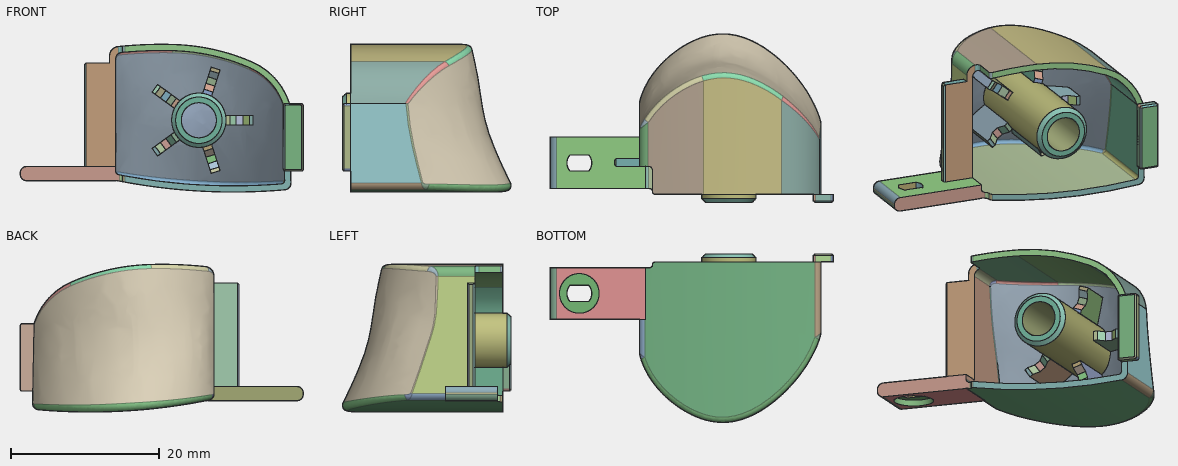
import cadquery as cq

overall_length = 38.02
wall = 0.85
overrun = 26.6

side_x = -12.0
side_top, side_bottom = 9.77, -7.9
roof_rise, roof_crest = (-7.6, 10.15), (-3.42, 10.2)
shoulder_start, shoulder_end = (7.07, 7.87), (12.15, 2.3)
right_foot = (12.4, -9.28)
floor_low = (2.3, -9.62)
top_corner_radius = 1.33
low_corner_radius = 0.9
back_fillet = 0.72
cavity_fillet = 0.38

back_stations = (-12.15, -8.0, -1.15, 6.3, 12.55)
back_levels = [
    (11.4, (8.35, 13.4, 15.8, 13.1, 6.3)),
    (3.8, (8.4, 14.83, 17.4, 14.52, 6.5)),
    (-1.9, (9.12, 16.6, 18.63, 15.8, 7.1)),
    (-8.55, (12.3, 18.75, 21.55, 18.45, 8.95)),
    (-11.4, (13.7, 19.25, 22.8, 19.7, 9.9)),
]
back_margin = 2.3

tube_radius, bore_radius = 3.65, 2.35
front_reach = 1.1
tube_chamfer = 0.55

rib_count = 5
rib_width = 1.25
rib_front = 9.9
rib_valley_depth = 0.85
rib_land_end, rib_floor_start, rib_floor_end, rib_tip_start, rib_tip = 4.2, 5.0, 5.95, 6.8, 7.3

notch_x, notch_depth = -10.25, 3.75
notch_radius = 0.55
low_notch_radius = 0.38
rim_corner_radius = 0.35

arm_left, arm_top, arm_thickness = -24.0, -6.2, 1.95
arm_front, arm_back = 0.75, 7.7
arm_end_radius = 0.87
slot_length, slot_width = 3.3, 2.13
slot_x, slot_y = -20.07, 4.22
recess_radius, recess_depth = 2.65, 0.8

plate_left, plate_top, plate_thickness = -15.35, 7.7, 1.03
tab_left, tab_bottom, tab_top = 11.33, -6.85, 2.25
tab_right = arm_left + overall_length
tab_corner_radius = 0.3
edge_chamfer = 0.23


def block(x0, x1, y0, y1, z0, z1):
    """Box between two limits along each axis."""
    return cq.Workplane("XY", origin=(x0, y0, z0)).box(x1 - x0, y1 - y0, z1 - z0, centered=False)


def rod(radius):
    """Cylinder on the tube axis, starting at the tube mouth."""
    return cq.Workplane("XZ", origin=(0, -front_reach, 0)).circle(radius).extrude(-overrun)


def hood_prism(inset):
    """Rim outline, moved inwards by inset, extruded along +Y with rounded corners."""
    outline = (
        cq.Workplane("XZ")
        .moveTo(side_x, side_bottom)
        .lineTo(side_x, side_top)
        .threePointArc(roof_rise, roof_crest)
        .tangentArcPoint(shoulder_start, relative=False)
        .tangentArcPoint(shoulder_end, relative=False)
        .lineTo(*right_foot)
        .threePointArc(floor_low, (side_x, side_bottom))
        .close()
    )
    if inset:
        outline = outline.offset2D(-inset, "intersection")
    prism = outline.extrude(-overrun)
    corners = [
        ((side_x, side_top), top_corner_radius),
        ((side_x, side_bottom), low_corner_radius),
        (right_foot, low_corner_radius),
    ]
    for (x, z), radius in corners:
        corner = cq.selectors.NearestToPointSelector((x, overrun / 2, z))
        prism = prism.edges(corner).fillet(radius - inset / 2)
    return prism


def back_body(inset):
    """Solid that ends at the curved back face, moved forwards by inset."""
    sections = cq.Workplane("XY")
    previous_z = 0.0
    for z, depths in back_levels:
        points = [(x, y - inset) for x, y in zip(back_stations, depths)]
        sections = (
            sections.workplane(offset=z - previous_z)
            .moveTo(back_stations[0], -back_margin)
            .lineTo(*points[0])
            .spline(points[1:], includeCurrent=True)
            .lineTo(back_stations[-1], -back_margin)
            .close()
        )
        previous_z = z
    return sections.loft(combine=True)


def hood_body(inset, rounding):
    """Solid hood with a rounded edge between its walls and its back face."""
    body = hood_prism(inset).intersect(back_body(inset))
    behind_rim = cq.selectors.BoxSelector((-overrun, back_margin, -overrun), (overrun, overrun, overrun))
    return body.edges(behind_rim).edges("%BSPLINE").fillet(rounding)


def notch(depth, radius, z0, z1):
    """Space removed from the left end of the rim, rounded in its inner corner."""
    space = block(-overrun, notch_x, -depth, depth, z0, z1)
    return space.edges("|Z and >X and >Y").fillet(radius)


def shell():
    """Hollow hood with its left rim notched: deep above the arm, shallow beside and below it."""
    body = hood_body(0, back_fillet).cut(hood_body(wall, cavity_fillet))
    body = body.cut(notch(notch_depth, notch_radius, arm_top, overrun))
    body = body.cut(notch(arm_front, low_notch_radius, -overrun, arm_top))
    rim_corners = cq.selectors.BoxSelector(
        (notch_x - wall / 2, -wall / 2, -overrun), (notch_x + wall / 2, wall / 2, overrun)
    )
    return body.edges("|Z").edges(rim_corners).fillet(rim_corner_radius)


def rib():
    """One rib along +X; its front has a trapezoidal valley between land and tip."""
    valley = rib_front + rib_valley_depth
    profile = (
        cq.Workplane("XY")
        .moveTo(0, rib_front)
        .lineTo(rib_land_end, rib_front)
        .lineTo(rib_floor_start, valley)
        .lineTo(rib_floor_end, valley)
        .lineTo(rib_tip_start, rib_front)
        .lineTo(rib_tip, rib_front)
        .lineTo(rib_tip, overrun)
        .lineTo(0, overrun)
        .close()
    )
    return profile.extrude(rib_width / 2, both=True)


def ribbed_tube():
    """Chamfered tube with ribs around its root, both ending inside the back wall of the hood."""
    body = rod(tube_radius).faces("<Y").chamfer(tube_chamfer)
    for index in range(rib_count):
        body = body.union(rib().rotate((0, 0, 0), (0, 1, 0), index * 360 / rib_count))
    return body.intersect(back_body(wall / 2))


def arm():
    """Flat arm with a rounded end and a round-ended slot, recessed from below."""
    body = block(arm_left, side_x + wall, arm_front, arm_back, arm_top - arm_thickness, arm_top)
    body = body.edges("|Y and <X").fillet(arm_end_radius)
    underside = cq.Workplane("XY", origin=(slot_x, slot_y, arm_top - arm_thickness))
    slot = underside.circle(slot_length / 2).extrude(arm_thickness)
    slot = slot.intersect(underside.rect(slot_length, slot_width).extrude(arm_thickness))
    recess = underside.circle(recess_radius).extrude(recess_depth)
    return body.cut(slot).cut(recess)


def plate():
    """Upright plate standing on the arm at the back of the notch."""
    body = block(plate_left, side_x + wall, notch_depth, notch_depth + plate_thickness, arm_top, plate_top)
    return body.faces("<X").edges("|Z or >Z").chamfer(edge_chamfer)


def tab():
    """Tab standing on the rim at the right side."""
    body = block(tab_left, tab_right, -front_reach, 0, tab_bottom, tab_top)
    return body.edges("|Y").fillet(tab_corner_radius).faces("<Y").chamfer(edge_chamfer)


bore = rod(bore_radius).intersect(back_body(wall))

result = shell().union(ribbed_tube()).cut(bore)
for attachment in (arm(), plate(), tab()):
    result = result.union(attachment)